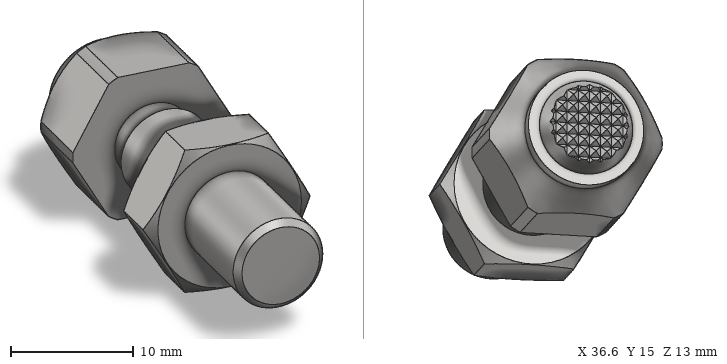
import cadquery as cq
import math

total_length = 36.6
across_flats = 13.0
across_corners = across_flats / math.cos(math.pi / 6)

collar_start = 1.6
collar_radius = 4.83
head_start = 2.9
head_end = 11.6
head_corner_radius = 7.25
neck_end = 13.5
neck_radius = 3.48
shank_radius = 4.03
shank_chamfer = 0.55

nut_start = 21.55
nut_thickness = 5.0
nut_face_radius = 6.45
nut_chamfer_angle = 30.0

ball_radius = 4.1
ball_mouth_radius = 3.9
toothed_width = 5.6
tooth_depth = 0.4
grooves_each_side = 3

ball_center = collar_start + math.sqrt(ball_radius**2 - ball_mouth_radius**2)
tooth_pitch = toothed_width / (2 * grooves_each_side)


def hexagon_bar(start, length):
    """Hexagonal prism along X with two flats facing up and down."""
    return cq.Workplane("YZ", origin=(start, 0, 0)).polygon(6, across_corners).extrude(length)


def turned(profile):
    """Solid of revolution about X from (x, radius) points; it is closed along the axis."""
    return cq.Workplane("XY").polyline(profile).close().revolve(360, (0, 0, 0), (1, 0, 0))


def ball_blank():
    """Ball centred on the axis and cut flat at X = 0."""
    flat_radius = math.sqrt(ball_radius**2 - ball_center**2)
    return (
        cq.Workplane("XY")
        .moveTo(0, 0)
        .lineTo(0, flat_radius)
        .threePointArc((ball_center, ball_radius), (ball_center + ball_radius, 0))
        .close()
        .revolve(360, (0, 0, 0), (1, 0, 0))
    )


def make_head():
    """Hexagon with rounded corners and a 45 degree cone at the collar end."""
    cone_end = head_start + head_corner_radius - collar_radius
    envelope = turned([
        (head_start, 0),
        (head_start, collar_radius),
        (cone_end, head_corner_radius),
        (head_end, head_corner_radius),
        (head_end, 0),
    ])
    return hexagon_bar(head_start, head_end - head_start).intersect(envelope)


def make_screw():
    """Collar, head, neck and shank in one piece, with a socket that fits the ball."""
    collar = turned([
        (collar_start, 0),
        (collar_start, collar_radius),
        (head_start, collar_radius),
        (head_start, 0),
    ])
    shank = turned([
        (head_end, 0),
        (head_end, neck_radius),
        (neck_end, neck_radius),
        (neck_end + shank_chamfer, shank_radius),
        (total_length - shank_chamfer, shank_radius),
        (total_length, shank_radius - shank_chamfer),
        (total_length, 0),
    ])
    return make_head().union(collar).union(shank).cut(ball_blank()).solids()


def make_nut():
    """Hexagon nut with its corners chamfered on both faces."""
    nut_end = nut_start + nut_thickness
    corner_radius = across_corners / 2
    chamfer_length = (corner_radius - nut_face_radius) * math.tan(math.radians(nut_chamfer_angle))
    envelope = turned([
        (nut_start, 0),
        (nut_start, nut_face_radius),
        (nut_start + chamfer_length, corner_radius),
        (nut_end - chamfer_length, corner_radius),
        (nut_end, nut_face_radius),
        (nut_end, 0),
    ])
    bore = cq.Workplane("YZ", origin=(nut_start, 0, 0)).circle(shank_radius).extrude(nut_thickness)
    return hexagon_bar(nut_start, nut_thickness).intersect(envelope).cut(bore).solids()


def make_groove(offset):
    """V groove along Z, cut into the plane X = 0 at the given Y."""
    return (
        cq.Workplane("XY", origin=(0, offset, -ball_radius))
        .polyline([(0, -tooth_pitch / 2), (tooth_depth, 0), (0, tooth_pitch / 2)])
        .close()
        .extrude(2 * ball_radius)
    )


def make_ball():
    """Flat-faced ball with crossing V grooves that leave pyramid teeth."""
    ball = ball_blank()
    for index in range(-grooves_each_side, grooves_each_side + 1):
        groove = make_groove(index * tooth_pitch)
        ball = ball.cut(groove)
        ball = ball.cut(groove.rotate((0, 0, 0), (1, 0, 0), 90))
    return ball.solids()


screw = make_screw()
nut = make_nut()
ball = make_ball()

result = cq.Compound.makeCompound([screw.val(), nut.val(), ball.val()])